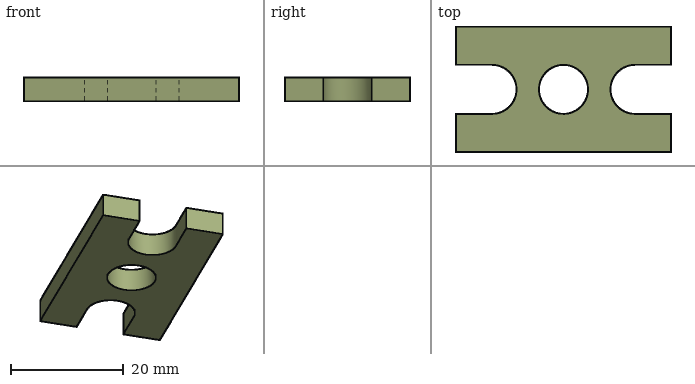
import cadquery as cq

length = 38.1
width = 22.2
thickness = 4.25

hole_diameter = 8.65
slot_depth = 10.7


def end_slot(end_x):
    """Through slot centred on a plate end, with a semicircular inner end."""
    return (
        cq.Workplane("XY")
        .center(end_x, 0)
        .slot2D(2 * slot_depth, hole_diameter)
        .extrude(thickness)
    )


plate = cq.Workplane("XY").box(length, width, thickness, centered=(True, True, False))
result = plate.faces(">Z").workplane().hole(hole_diameter)

for end_x in (-length / 2, length / 2):
    result = result.cut(end_slot(end_x))